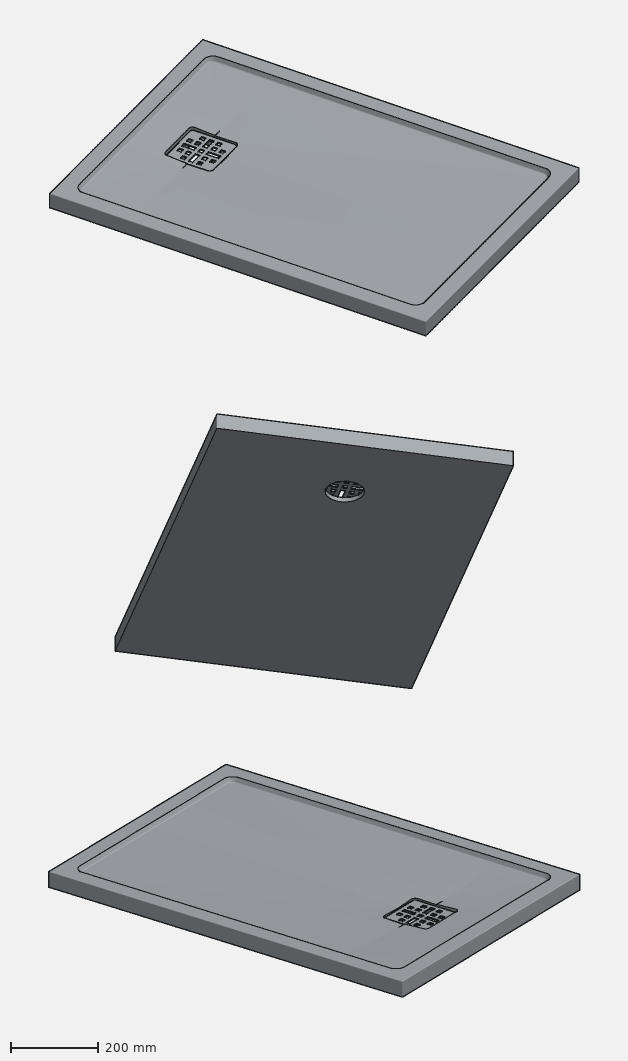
import cadquery as cq
import math

TRAY_LENGTH = 1000.0
TRAY_WIDTH = 700.0
TRAY_HEIGHT = 39.98
EDGE_RADIUS = 2.0

RIM_WIDTH = 42.0
BASIN_RADIUS = 24.0
WALL_RUN = 7.0
WALL_FOOT_RADIUS = 4.0
BASIN_LENGTH = TRAY_LENGTH - 2 * RIM_WIDTH
BASIN_WIDTH = TRAY_WIDTH - 2 * RIM_WIDTH

DRAIN_X = -300.0
CHANNEL_HALF_WIDTH = 84.0
FLOOR_EDGE_Z = 28.0
FLOOR_DRAIN_Z = 15.0
FLOOR_SIDE = BASIN_WIDTH / 2 - WALL_RUN

RECESS_SIZE = 127.0
RECESS_RADIUS = 10.0
GRATE_CLEARANCE = 2.0
GRATE_THICKNESS = 3.0
GRATE_TOP_Z = 15.0
WASTE_DIAMETER = 90.0
GRATE_SIZE = RECESS_SIZE - 2 * GRATE_CLEARANCE
GRATE_RADIUS = RECESS_RADIUS - GRATE_CLEARANCE
RECESS_Z = GRATE_TOP_Z - GRATE_THICKNESS

OPENING_WIDTH = 11.0
OPENING_PITCH = 21.7
SLOT_LENGTH = OPENING_WIDTH + OPENING_PITCH
SLOT_OFFSET = 1.5 * OPENING_PITCH
QUARTER_CELLS = ((1, 1), (1, 2), (2, 1))


def rounded_outline(length, width, radius):
    return cq.Sketch().rect(length, width).vertices().fillet(radius)


def wall_space():
    """Tapered block whose sides are the basin wall."""
    taper = math.degrees(math.atan2(WALL_RUN, TRAY_HEIGHT - FLOOR_EDGE_Z))
    return (
        cq.Workplane("XY", origin=(0, 0, TRAY_HEIGHT))
        .placeSketch(rounded_outline(BASIN_LENGTH, BASIN_WIDTH, BASIN_RADIUS))
        .extrude(FLOOR_DRAIN_Z - TRAY_HEIGHT, taper=taper)
    )


def drain_line_z(y):
    """Floor height on the V-shaped line that crosses the tray at the drain."""
    return FLOOR_DRAIN_Z + (FLOOR_EDGE_Z - FLOOR_DRAIN_Z) * abs(y) / FLOOR_SIDE


def floor_section(x, floor_points):
    """Closed YZ wire at x, with the (y, z) floor points below and the tray top above."""
    first_y = floor_points[0][0]
    last_y = floor_points[-1][0]
    outline = floor_points + [(last_y, TRAY_HEIGHT), (first_y, TRAY_HEIGHT)]
    return cq.Wire.makePolygon([cq.Vector(x, y, z) for y, z in outline], close=True)


def floor_space(fold_ys, end_x):
    """Ruled solid over a floor, folded at fold_ys, that rises from the drain line to end_x."""
    low_points = [(y, drain_line_z(y)) for y in fold_ys]
    level_points = [(y, FLOOR_EDGE_Z) for y in fold_ys]
    sections = [floor_section(DRAIN_X, low_points), floor_section(end_x, level_points)]
    return cq.Workplane(cq.Solid.makeLoft(sections, True))


def wall_foot_edges():
    """Selector for the low edges that lie outside the middle of the floor."""
    half_length = BASIN_LENGTH / 2
    half_width = BASIN_WIDTH / 2
    foot_top = (FLOOR_EDGE_Z + TRAY_HEIGHT) / 2 - WALL_FOOT_RADIUS / 2
    middle_x = half_length - BASIN_RADIUS
    middle_y = half_width - BASIN_RADIUS
    low = cq.selectors.BoxSelector((-half_length, -half_width, 0), (half_length, half_width, foot_top))
    middle = cq.selectors.BoxSelector((-middle_x, -middle_y, 0), (middle_x, middle_y, foot_top))
    return low - middle


def basin_space():
    """Space inside the basin: a valley towards +X and a flat-bottomed channel towards -X."""
    outer = TRAY_WIDTH / 2
    valley_folds = (-outer, 0, outer)
    channel_folds = (-outer, -CHANNEL_HALF_WIDTH, CHANNEL_HALF_WIDTH, outer)
    wall = wall_space()
    valley = floor_space(valley_folds, BASIN_LENGTH / 2).intersect(wall)
    channel = floor_space(channel_folds, -BASIN_LENGTH / 2).intersect(wall)
    return valley.union(channel).edges(wall_foot_edges()).fillet(WALL_FOOT_RADIUS)


def make_tray():
    block = (
        cq.Workplane("XY")
        .box(TRAY_LENGTH, TRAY_WIDTH, TRAY_HEIGHT, centered=(True, True, False))
        .edges("|Z or >Z")
        .fillet(EDGE_RADIUS)
    )
    recess = (
        cq.Workplane("XY", origin=(DRAIN_X, 0, RECESS_Z))
        .placeSketch(rounded_outline(RECESS_SIZE, RECESS_SIZE, RECESS_RADIUS))
        .extrude(TRAY_HEIGHT - RECESS_Z)
    )
    waste = cq.Workplane("XY", origin=(DRAIN_X, 0, 0)).circle(WASTE_DIAMETER / 2).extrude(RECESS_Z)
    return block.cut(basin_space()).cut(recess).cut(waste)


def make_grate():
    base = cq.Workplane("XY", origin=(DRAIN_X, 0, RECESS_Z))
    plate = base.placeSketch(rounded_outline(GRATE_SIZE, GRATE_SIZE, GRATE_RADIUS)).extrude(GRATE_THICKNESS)
    signs = (-1, 1)
    squares = [(0, 0)]
    for column, row in QUARTER_CELLS:
        squares += [(i * column * OPENING_PITCH, j * row * OPENING_PITCH) for i in signs for j in signs]
    slots_x = [(i * SLOT_OFFSET, 0) for i in signs]
    slots_y = [(0, i * SLOT_OFFSET) for i in signs]
    openings = (
        (squares, OPENING_WIDTH, OPENING_WIDTH),
        (slots_x, SLOT_LENGTH, OPENING_WIDTH),
        (slots_y, OPENING_WIDTH, SLOT_LENGTH),
    )
    for centres, length, width in openings:
        plate = plate.cut(base.pushPoints(centres).rect(length, width).extrude(GRATE_THICKNESS))
    return plate


tray = make_tray()
grate = make_grate()

result = cq.Compound.makeCompound([tray.val(), grate.val()])